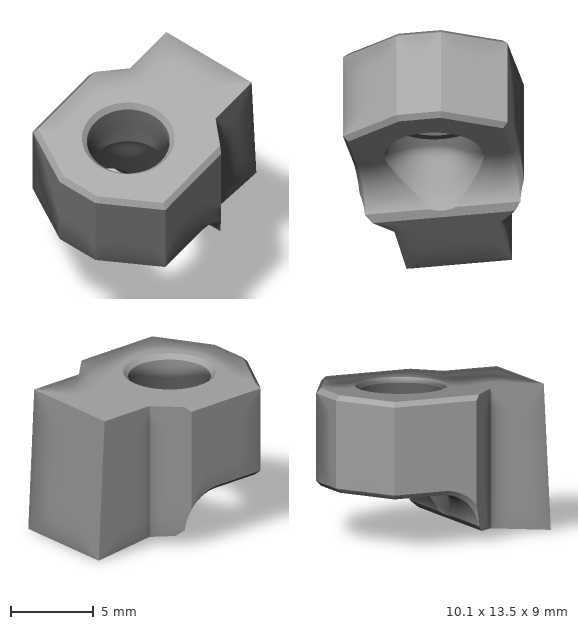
import cadquery as cq
import math

width = 10.08
length = 13.5
height = 9.0
edge_chamfer = 0.3
head_thickness = 5.98
front_flat = 2.71
front_bevel_angle = 30.0
shoulder_y = 7.65
neck_width = 6.48
back_top_y = 13.03
underside_angle = 6.0
step_fillet_start_y = 5.51
step_fillet_radius = 2.45
step_lip_z = -8.06
bore_center_y = 5.04
bore_radius = 2.5
counterbore_radius = 3.0
counterbore_top_depth = 3.3
countersink_angle = 45.0

tolerance = 0.01

half_width = width / 2
half_neck = neck_width / 2
half_flat = front_flat / 2
bevel_y = (half_width - half_flat) * math.tan(math.radians(front_bevel_angle))
neck_y = shoulder_y + half_width - half_neck
underside_slope = math.tan(math.radians(underside_angle))


def underside_z(y):
    """Height of the sloping underside, which is lowest at the back edge."""
    return -height + (length - y) * underside_slope


def plan_prism():
    """Vertical prism of the eight-sided head and its rear neck."""
    right_side = [
        (half_flat, 0),
        (half_width, bevel_y),
        (half_width, shoulder_y),
        (half_neck, neck_y),
        (half_neck, length),
    ]
    left_side = [(-x, y) for x, y in reversed(right_side)]
    return cq.Workplane("XY").polyline(right_side + left_side).close().extrude(-height)


def side_prism():
    """Side silhouette across the width: leaning back, sloping underside, 45 degree lip and filleted step."""
    arc_center_z = -head_thickness - step_fillet_radius
    arc_mid_offset = step_fillet_radius * math.sqrt(0.5)
    lip_rise = step_lip_z - arc_center_z
    lip_y = step_fillet_start_y + math.sqrt(step_fillet_radius**2 - lip_rise**2)
    lip_bevel = (step_lip_z - underside_z(lip_y)) / (1 - underside_slope)
    return (
        cq.Workplane("YZ")
        .lineTo(back_top_y, 0)
        .lineTo(length, -height)
        .lineTo(lip_y + lip_bevel, step_lip_z - lip_bevel)
        .lineTo(lip_y, step_lip_z)
        .threePointArc(
            (step_fillet_start_y + arc_mid_offset, arc_center_z + arc_mid_offset),
            (step_fillet_start_y, -head_thickness),
        )
        .lineTo(0, -head_thickness)
        .close()
        .extrude(half_width, both=True)
    )


def head_edges(low_z, high_z):
    """Selector for edges centred on the head, from its front to the shoulder, between two heights."""
    return cq.selectors.BoxSelector(
        (-width, -tolerance, low_z - tolerance),
        (width, shoulder_y, high_z + tolerance),
    )


def is_outer_edge(edge):
    """True unless the edge crosses the middle of the head underside."""
    center = edge.Center()
    return abs(center.x) > tolerance or center.y < tolerance


body = plan_prism().intersect(side_prism())
body = body.edges(head_edges(0, 0)).chamfer(edge_chamfer)
fillet_bottom_z = -head_thickness - step_fillet_radius / 2
lower_edges = body.edges(head_edges(fillet_bottom_z, -head_thickness)).filter(is_outer_edge)
body = lower_edges.chamfer(edge_chamfer)

bore_plane = cq.Workplane("XY").center(0, bore_center_y)
bore = bore_plane.circle(bore_radius).extrude(-height)
countersink = bore_plane.circle(bore_radius + edge_chamfer).extrude(-edge_chamfer, taper=countersink_angle)
counterbore = (
    bore_plane.workplane(offset=-counterbore_top_depth)
    .circle(counterbore_radius)
    .extrude(-height)
)
result = body.cut(bore).cut(countersink).cut(counterbore)